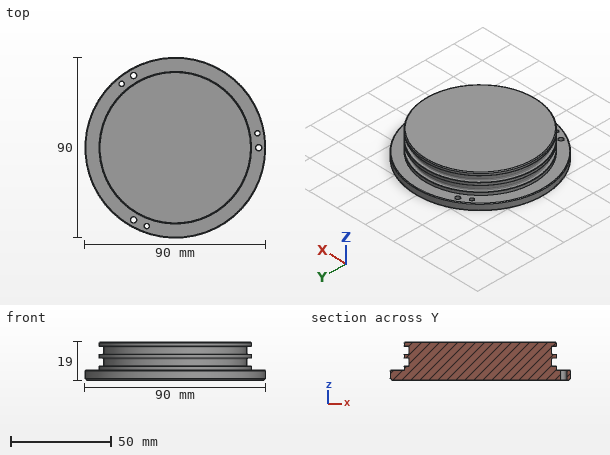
import cadquery as cq

flange_diameter = 90.0
flange_height = 5.0
flange_top_chamfer = 0.45
flange_bottom_chamfer = 1.0

total_height = 19.0
plug_diameter = 76.0
groove_diameter = 71.4
groove_width = 4.0
groove_pitch = 5.9
lower_groove_bottom = 7.0
plug_top_chamfer = 0.5
groove_corner_radius = 0.4
groove_mouth_chamfer = 0.2

hole_circle_radius = 41.5
large_hole_diameter = 3.0
small_hole_diameter = 2.5
pair_count = 3
small_hole_lead_angle = 10.0


def disc(diameter, bottom, top):
    """Solid disc about the Z axis between two heights."""
    return cq.Workplane("XY").workplane(offset=bottom).circle(diameter / 2).extrude(top - bottom)


def make_flange():
    flange = disc(flange_diameter, 0, flange_height)
    flange = flange.faces(">Z").edges().chamfer(flange_top_chamfer)
    return flange.faces("<Z").edges().chamfer(flange_bottom_chamfer)


def ring_groove(bottom):
    """Ring-shaped cutter with rounded floor corners and a slightly flared mouth."""
    top = bottom + groove_width
    floor_radius = groove_diameter / 2
    plug_radius = plug_diameter / 2
    flare_radius = plug_radius - groove_mouth_chamfer
    profile = [
        (floor_radius, bottom),
        (flare_radius, bottom),
        (plug_radius, bottom - groove_mouth_chamfer),
        (plug_radius, top + groove_mouth_chamfer),
        (flare_radius, top),
        (floor_radius, top),
    ]
    ring = cq.Workplane("XZ").polyline(profile).close().revolve(360, (0, 0), (0, 1))
    return ring.edges(cq.selectors.RadiusNthSelector(0)).fillet(groove_corner_radius)


def make_plug():
    plug = disc(plug_diameter, 0, total_height)
    plug = plug.faces(">Z").edges().chamfer(plug_top_chamfer)
    for bottom in (lower_groove_bottom, lower_groove_bottom + groove_pitch):
        plug = plug.cut(ring_groove(bottom))
    return plug


def rim_holes(diameter, start_angle):
    """Cutters for equally spaced through holes on the flange hole circle."""
    return (
        cq.Workplane("XY")
        .polarArray(hole_circle_radius, start_angle, 360, pair_count)
        .circle(diameter / 2)
        .extrude(flange_height)
    )


result = (
    make_flange()
    .union(make_plug())
    .cut(rim_holes(large_hole_diameter, 0))
    .cut(rim_holes(small_hole_diameter, small_hole_lead_angle))
)